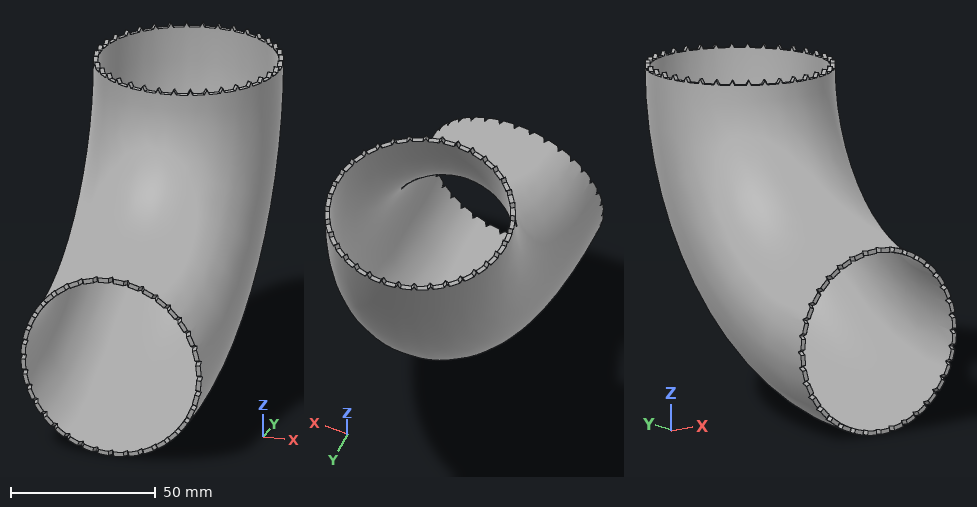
import cadquery as cq

outer_diameter = 65.8
wall_thickness = 1.6
bend_radius = 83.0
bend_angle = 90.0

tooth_count = 36
tooth_height = 1.6
tooth_width = 1.9

outer_radius = outer_diameter / 2
inner_radius = outer_radius - wall_thickness
end_height = outer_radius + bend_radius
notch_overshoot = 0.6


def make_elbow():
    """Sweep the pipe ring from the front opening (Y = 0) up to the upper opening."""
    return (
        cq.Workplane("XZ", origin=(0, 0, outer_radius))
        .circle(outer_radius)
        .circle(inner_radius)
        .revolve(bend_angle, (0, bend_radius, 0), (1, bend_radius, 0))
    )


def make_ridges(inner_reach, outer_reach):
    """Ring of triangular radial ridges standing on Z = 0, one of them pointing along +Y."""
    profile = [(-tooth_width / 2, 0), (tooth_width / 2, 0), (0, tooth_height)]
    ridge = cq.Workplane("XZ").polyline(profile).close().extrude(-outer_reach)
    ring = cq.Workplane("XY").circle(outer_reach).circle(inner_reach).extrude(tooth_height)
    ridge = ridge.intersect(ring).val()
    step = 360 / tooth_count
    return [ridge.rotate((0, 0, 0), (0, 0, 1), step * index) for index in range(tooth_count)]


def make_teeth():
    """Teeth spanning the wall, standing on the upper end plane."""
    upper_centre = cq.Vector(0, bend_radius, end_height)
    return [ridge.translate(upper_centre) for ridge in make_ridges(inner_radius, outer_radius)]


def make_notches():
    """Cutters for the notches that run into the wall from the front end plane."""
    ridges = make_ridges(inner_radius - notch_overshoot, outer_radius + notch_overshoot)
    front_centre = cq.Vector(0, 0, outer_radius)
    return [ridge.rotate((0, 0, 0), (1, 0, 0), -90).translate(front_centre) for ridge in ridges]


elbow = make_elbow().val()
elbow = elbow.cut(*make_notches())
elbow = elbow.fuse(*make_teeth())
result = cq.Workplane("XY").newObject(elbow.Solids())